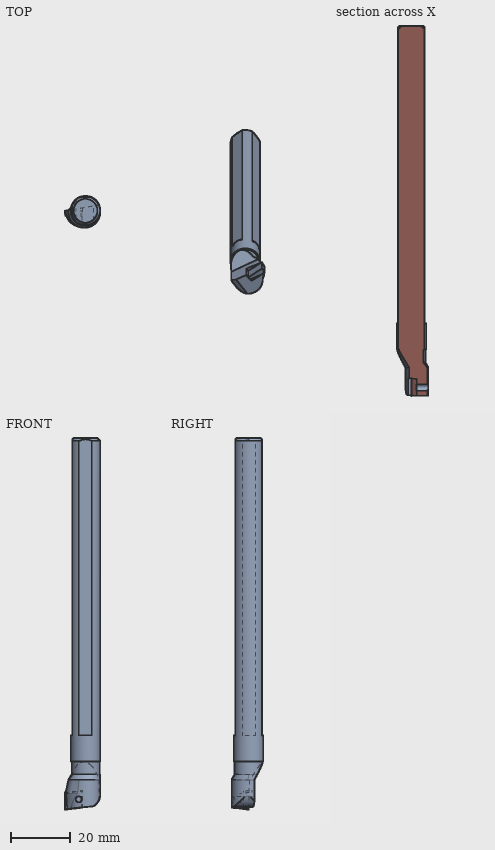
import cadquery as cq
import math

total_length = 125.0
overall_width = 12.0
overall_depth = 10.8
shank_radius = 5.0
flat_distance = 4.5
flat_bottom = 25.0
top_chamfer = 1.0
collar_bottom = 16.1

neck_radius = 4.8
neck_shift = 0.1
neck_bottom = 11.9
collar_chamfer = 0.2

head_top = 10.1
head_radius = 5.4
head_x = -0.4
head_y = shank_radius - overall_depth + head_radius
flank_bend = 5.5
flank_x = -1.4
flank_foot_y = 1.2
flank_foot_radius = 5.6
head_end_left = 0.2
head_end_right = 1.1
head_end_x = 2.6
heel_mid_x = 4.1
heel_mid_z = 2.5
heel_top = 4.8

tip_x = shank_radius - overall_width
insert_thickness = 1.8
insert_edge = 5.9
end_cutting_angle = 6.5
clearance_angle = 7.0
screw_x = -2.2
screw_z = 3.5
screw_radius = 1.0

chip_face_angle = 10.0
ramp_width = 3.5
cut_margin = 12.5


def make_shank():
    """Round shank with three clamping flats and a chamfered end."""
    shank = (
        cq.Workplane("XY").workplane(offset=collar_bottom)
        .circle(shank_radius).extrude(total_length - collar_bottom)
        .faces(">Z").chamfer(top_chamfer)
        .faces("<Z").chamfer(collar_chamfer)
    )
    flat_length = total_length - flat_bottom
    block_center = flat_distance + cut_margin / 2
    for x, y in [(-block_center, 0), (0, -block_center), (0, block_center)]:
        shank = shank.cut(
            cq.Workplane("XY", origin=(x, y, flat_bottom))
            .box(cut_margin, cut_margin, flat_length, centered=(True, True, False))
        )
    return shank


def cone_between(lower, upper):
    """Loft between two circles, each given as (x, y, z, radius)."""
    wires = [
        cq.Wire.makeCircle(radius, cq.Vector(x, y, z), cq.Vector(0, 0, 1))
        for x, y, z, radius in (lower, upper)
    ]
    return cq.Workplane(obj=cq.Solid.makeLoft(wires, True))


def make_neck():
    """Round neck that flares into the head."""
    neck = (
        cq.Workplane("XY", origin=(neck_shift, 0, neck_bottom))
        .circle(neck_radius).extrude(collar_bottom - neck_bottom)
    )
    flare = cone_between(
        (head_x, head_y, head_top, head_radius),
        (neck_shift, 0, neck_bottom, neck_radius),
    )
    return neck.union(flare)


def make_head():
    """Round head with a leaning flank, a sloped end and a rounded heel."""
    body = cq.Workplane("XY", origin=(head_x, head_y, 0)).circle(head_radius).extrude(head_top)
    flank = cone_between(
        (flank_x, 0, flank_bend, head_radius),
        (head_x, head_y, head_top, head_radius),
    )
    flank_foot = cone_between(
        (flank_x, flank_foot_y, 0, flank_foot_radius),
        (flank_x, 0, flank_bend, head_radius),
    )

    side_outline = (
        cq.Workplane("XZ")
        .moveTo(tip_x, head_end_left)
        .lineTo(head_end_x, head_end_right)
        .threePointArc((heel_mid_x, heel_mid_z), (shank_radius, heel_top))
        .lineTo(shank_radius, head_top)
        .lineTo(tip_x, head_top)
        .close().extrude(cut_margin, both=True)
    )
    return body.union(flank).union(flank_foot).intersect(side_outline)


def make_chip_cut():
    """Block behind the chip face, with a ramp at its upper end."""
    return (
        cq.Workplane("YZ")
        .moveTo(0, -cut_margin)
        .lineTo(0, head_top)
        .lineTo(ramp_width, collar_bottom)
        .lineTo(cut_margin, collar_bottom)
        .lineTo(cut_margin, -cut_margin)
        .close().extrude(2 * cut_margin, both=True)
        .rotate((0, 0, 0), (0, 0, 1), chip_face_angle)
        .translate((tip_x, 0, 0))
    )


def insert_outline():
    """Rhombic insert outline with its cutting tip at the lower left."""
    angle = math.radians(end_cutting_angle)
    run = insert_edge * math.cos(angle)
    rise = insert_edge * math.sin(angle)
    return (
        cq.Workplane("XZ")
        .moveTo(tip_x, 0)
        .lineTo(tip_x + run, rise)
        .lineTo(tip_x + run, rise + insert_edge)
        .lineTo(tip_x, insert_edge)
        .close()
    )


def make_insert():
    """Cutting insert, tapering away from its flat chip face."""
    return insert_outline().extrude(insert_thickness, taper=clearance_angle)


def make_holder(insert):
    """Shank, neck and head, cut to seat the insert."""
    pocket_opening = insert_outline().extrude(-cut_margin)
    screw_hole = (
        cq.Workplane("XZ", origin=(screw_x, -insert_thickness, screw_z))
        .circle(screw_radius).extrude(cut_margin)
    )
    return (
        make_shank().union(make_neck()).union(make_head())
        .cut(make_chip_cut())
        .cut(insert).cut(pocket_opening)
        .cut(screw_hole)
    )


insert = make_insert()
holder = make_holder(insert)
result = cq.Compound.makeCompound([holder.solids().val(), insert.val()])